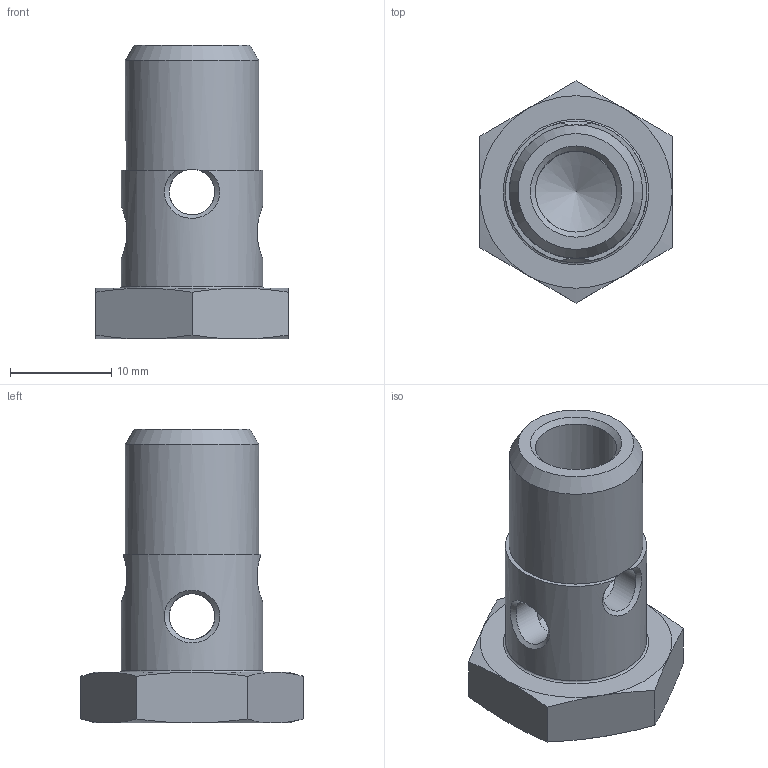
import cadquery as cq
import math

ACROSS_FLATS = 19.0
HEAD_HEIGHT = 5.0
HEAD_CHAMFER_ANGLE = 15.0

TOTAL_HEIGHT = 29.0
NECK_DIAMETER = 13.96
NECK_TOP = 16.64
NECK_ROOT_FILLET = 0.2
THREAD_DIAMETER = 13.16
END_CHAMFER_HEIGHT = 1.5
END_CHAMFER_ANGLE = 30.0

BORE_DIAMETER = 8.0
BORE_SHOULDER = 6.4
DRILL_POINT_ANGLE = 120.0
BORE_MOUTH_CHAMFER = 0.5

CROSS_DIAMETER = 4.5
CROSS_HOLES = ((0, 10.5), (90, 14.5))

BEVEL_BALL_RADIUS = 0.35
BEVEL_OVERRUN = 0.5
BEVEL_CUTTER_MARGIN = 1.0
CURVE_POINTS = 24

neck_radius = NECK_DIAMETER / 2
thread_radius = THREAD_DIAMETER / 2
bore_radius = BORE_DIAMETER / 2
cross_radius = CROSS_DIAMETER / 2


def revolve_about_z(profile):
    """Revolve a closed (radius, height) profile drawn on the XZ plane."""
    return profile.close().revolve(360, (0, 0, 0), (0, 1, 0))


def make_head():
    """Hexagonal prism with conical corner chamfers on both faces."""
    face_radius = ACROSS_FLATS / 2
    corner_radius = face_radius / math.cos(math.pi / 6)
    drop = (corner_radius - face_radius) * math.tan(math.radians(HEAD_CHAMFER_ANGLE))
    prism = (
        cq.Workplane("XY")
        .polygon(6, 2 * corner_radius)
        .extrude(HEAD_HEIGHT)
        .rotate((0, 0, 0), (0, 0, 1), 90)
    )
    envelope = revolve_about_z(
        cq.Workplane("XZ")
        .lineTo(face_radius, 0)
        .lineTo(corner_radius, drop)
        .lineTo(corner_radius, HEAD_HEIGHT - drop)
        .lineTo(face_radius, HEAD_HEIGHT)
        .lineTo(0, HEAD_HEIGHT)
    )
    return prism.intersect(envelope)


def make_neck():
    """Plain neck with a concave fillet where it meets the head."""
    return revolve_about_z(
        cq.Workplane("XZ")
        .moveTo(0, HEAD_HEIGHT)
        .lineTo(neck_radius + NECK_ROOT_FILLET, HEAD_HEIGHT)
        .radiusArc((neck_radius, HEAD_HEIGHT + NECK_ROOT_FILLET), NECK_ROOT_FILLET)
        .lineTo(neck_radius, NECK_TOP)
        .lineTo(0, NECK_TOP)
    )


def make_threaded_end():
    """Thread shown as a plain cylinder with a chamfered end."""
    end_inset = END_CHAMFER_HEIGHT * math.tan(math.radians(END_CHAMFER_ANGLE))
    return revolve_about_z(
        cq.Workplane("XZ")
        .moveTo(0, NECK_TOP)
        .lineTo(thread_radius, NECK_TOP)
        .lineTo(thread_radius, TOTAL_HEIGHT - END_CHAMFER_HEIGHT)
        .lineTo(thread_radius - end_inset, TOTAL_HEIGHT)
        .lineTo(0, TOTAL_HEIGHT)
    )


def make_bore():
    """Cutter for the axial bore, its drill point and its mouth chamfer."""
    point_depth = bore_radius / math.tan(math.radians(DRILL_POINT_ANGLE / 2))
    return revolve_about_z(
        cq.Workplane("XZ")
        .moveTo(0, BORE_SHOULDER - point_depth)
        .lineTo(bore_radius, BORE_SHOULDER)
        .lineTo(bore_radius, TOTAL_HEIGHT - BORE_MOUTH_CHAMFER)
        .lineTo(bore_radius + BORE_MOUTH_CHAMFER, TOTAL_HEIGHT)
        .lineTo(0, TOTAL_HEIGHT)
    )


def make_cross_hole(direction, height):
    """Cutter for one cross hole, passing right through the shank."""
    return (
        cq.Workplane("YZ")
        .circle(cross_radius)
        .extrude(ACROSS_FLATS, both=True)
        .rotate((0, 0, 0), (0, 0, 1), direction)
        .translate((0, 0, height))
    )


def bevel_point(angle, share, flat_x=None):
    """Point on the bevel of a hole along +X: share 0 is on the hole wall, 1 on the neck.

    With flat_x given, the point is moved along X onto that plane.
    """
    ball_path_radius = cross_radius + BEVEL_BALL_RADIUS
    ball_neck_radius = neck_radius - BEVEL_BALL_RADIUS
    ball_y = ball_path_radius * math.cos(angle)
    ball_z = ball_path_radius * math.sin(angle)
    ball_x = math.sqrt(ball_neck_radius**2 - ball_y**2)
    on_wall = cq.Vector(ball_x, cross_radius * math.cos(angle), cross_radius * math.sin(angle))
    to_neck = neck_radius / ball_neck_radius
    on_neck = cq.Vector(ball_x * to_neck, ball_y * to_neck, ball_z)
    point = on_wall + (on_neck - on_wall) * share
    if flat_x is None:
        return point
    return cq.Vector(flat_x, point.y, point.z)


def bevel_loop(share, flat_x=None):
    """Closed smooth curve around the hole at one share of the bevel width."""
    angles = [2 * math.pi * i / CURVE_POINTS for i in range(CURVE_POINTS)]
    points = [bevel_point(angle, share, flat_x) for angle in angles]
    return cq.Wire.assembleEdges([cq.Edge.makeSpline(points, periodic=True)])


def make_mouth_bevel():
    """Cutter for the bevel at the +X mouth of a cross hole at height 0."""
    inner_share = -BEVEL_OVERRUN
    outer_share = 1 + BEVEL_OVERRUN
    inner_x = bevel_point(0, inner_share).x - BEVEL_CUTTER_MARGIN
    outer_x = neck_radius + BEVEL_CUTTER_MARGIN
    loops = [
        bevel_loop(inner_share, inner_x),
        bevel_loop(inner_share),
        bevel_loop(outer_share),
        bevel_loop(outer_share, outer_x),
    ]
    return cq.Workplane(cq.Solid.makeLoft(loops, True))


neck = make_neck()
mouth_bevel = make_mouth_bevel()
for direction, height in CROSS_HOLES:
    for side in (0, 180):
        bevel = mouth_bevel.rotate((0, 0, 0), (0, 0, 1), direction + side)
        neck = neck.cut(bevel.translate((0, 0, height)))

result = make_head().union(neck).union(make_threaded_end()).cut(make_bore())
for direction, height in CROSS_HOLES:
    result = result.cut(make_cross_hole(direction, height))